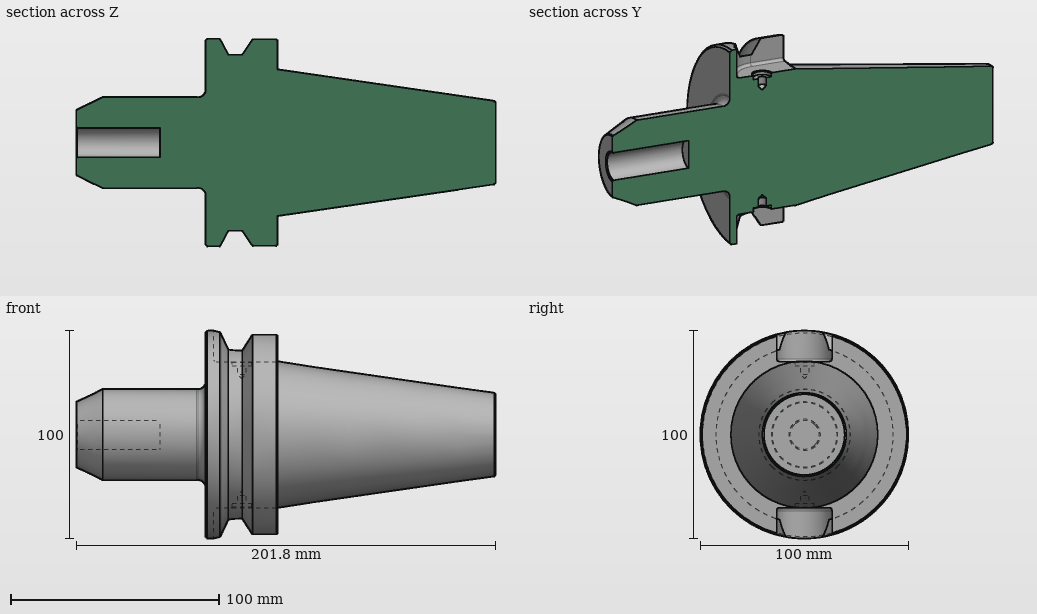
import cadquery as cq
import math

total_length = 201.8
nose_cone_length = 13.0
flange_front = 62.2
flange_rear = 96.9

nose_front_radius = 16.0
nose_front_chamfer = 0.5
nose_radius = 22.0

undercut_start = 58.0
undercut_ramp_length = 0.6
undercut_nose_depth = 0.1
undercut_face_depth = 0.1
undercut_fillet = 3.6
undercut_outer_radius = 26.2

bore_diameter = 14.0
bore_chamfer = 0.6
bore_depth = 40.4

flange_radius = 50.0
rear_flange_radius = 49.8
flange_front_chamfer = 1.0
flange_rear_chamfer = 0.6
groove_edge_chamfer = 0.6
groove_radius = 42.5
groove_floor_width = 6.7
groove_front = 69.6
groove_floor_start = 73.3
groove_rear = 84.4

taper_large_radius = 35.3
taper_small_radius = 20.2
taper_end_chamfer = 0.8

slot_width = 26.6
slot_floor_height = 35.1
slot_center_x = 79.3
slot_floor_fillet = 1.5
screw_x = 79.5
counterbore_diameter = 10.0
counterbore_depth = 2.0
counterbore_chamfer = 0.5
screw_hole_diameter = 4.0
screw_hole_depth = 6.0


def make_body():
    """Revolve the nose, grooved flange and taper about the X axis."""
    undercut_floor_radius = nose_radius - undercut_nose_depth
    undercut_ramp_end = undercut_start + undercut_ramp_length
    undercut_face = flange_front + undercut_face_depth
    fillet_start = undercut_face - undercut_fillet
    fillet_end_radius = undercut_floor_radius + undercut_fillet
    arc_middle = (
        fillet_start + undercut_fillet * math.sin(math.pi / 4),
        fillet_end_radius - undercut_fillet * math.cos(math.pi / 4),
    )
    profile = (
        cq.Workplane("XY")
        .lineTo(0, nose_front_radius - nose_front_chamfer)
        .lineTo(nose_front_chamfer, nose_front_radius)
        .lineTo(nose_cone_length, nose_radius)
        .lineTo(undercut_start, nose_radius)
        .lineTo(undercut_ramp_end, undercut_floor_radius)
        .lineTo(fillet_start, undercut_floor_radius)
        .threePointArc(arc_middle, (undercut_face, fillet_end_radius))
        .lineTo(flange_front, undercut_outer_radius)
        .lineTo(flange_front, flange_radius - flange_front_chamfer)
        .lineTo(flange_front + flange_front_chamfer, flange_radius)
        .lineTo(groove_front - groove_edge_chamfer, flange_radius)
        .lineTo(groove_front, flange_radius - groove_edge_chamfer)
        .lineTo(groove_floor_start, groove_radius)
        .lineTo(groove_floor_start + groove_floor_width, groove_radius)
        .lineTo(groove_rear, rear_flange_radius - groove_edge_chamfer)
        .lineTo(groove_rear + groove_edge_chamfer, rear_flange_radius)
        .lineTo(flange_rear - flange_rear_chamfer, rear_flange_radius)
        .lineTo(flange_rear, rear_flange_radius - flange_rear_chamfer)
        .lineTo(flange_rear, taper_large_radius)
        .lineTo(total_length - taper_end_chamfer, taper_small_radius)
        .lineTo(total_length, taper_small_radius - taper_end_chamfer)
        .lineTo(total_length, 0)
        .close()
    )
    return profile.revolve(360, (0, 0, 0), (1, 0, 0))


def make_bore():
    """Blind bore in the nose with a chamfered mouth."""
    bore_radius = bore_diameter / 2
    return (
        cq.Workplane("XY")
        .lineTo(0, bore_radius + bore_chamfer)
        .lineTo(bore_chamfer, bore_radius)
        .lineTo(bore_depth, bore_radius)
        .lineTo(bore_depth, 0)
        .close()
        .revolve(360, (0, 0, 0), (1, 0, 0))
    )


def make_slot():
    """Round-ended slot, open to the rear, with a stepped hole in its floor."""
    half_width = slot_width / 2
    slot = (
        cq.Workplane("XY", origin=(0, 0, slot_floor_height))
        .moveTo(flange_rear, half_width)
        .lineTo(slot_center_x, half_width)
        .threePointArc((slot_center_x - half_width, 0), (slot_center_x, -half_width))
        .lineTo(flange_rear, -half_width)
        .close()
        .extrude(flange_radius - slot_floor_height)
        .faces("<Z")
        .edges("not(>X)")
        .fillet(slot_floor_fillet)
    )
    return slot.union(make_floor_hole())


def make_floor_hole():
    """Chamfered counterbore over a small hole that ends in a cone."""
    mouth_radius = counterbore_diameter / 2
    counterbore_radius = mouth_radius - counterbore_chamfer
    hole_radius = screw_hole_diameter / 2
    return (
        cq.Workplane("XZ", origin=(screw_x, 0, slot_floor_height))
        .lineTo(mouth_radius, 0)
        .lineTo(counterbore_radius, -counterbore_chamfer)
        .lineTo(counterbore_radius, -counterbore_depth)
        .lineTo(hole_radius, -counterbore_depth)
        .lineTo(hole_radius, -screw_hole_depth)
        .lineTo(0, -screw_hole_depth - hole_radius)
        .close()
        .revolve(360, (0, 0, 0), (0, 1, 0))
    )


result = make_body().cut(make_bore())
for slot_angle in (0, 180):
    result = result.cut(make_slot().rotate((0, 0, 0), (1, 0, 0), slot_angle))